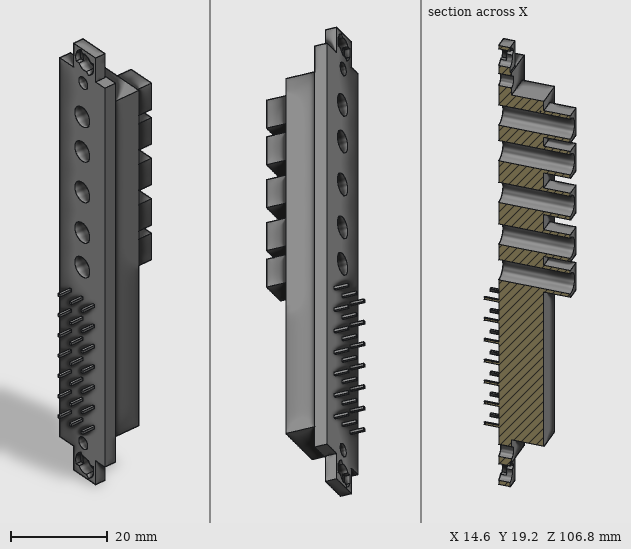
import cadquery as cq

total_height = 106.8

flange_width = 14.6
flange_height = 94.8
flange_depth = 2.9
ear_width = 7.2
ear_depth = 2.6
ear_offset_x = 0.7

housing_width = 12.5
housing_height = 83.9
housing_depth = 7.2

socket_size = 6.6
socket_depth = 5.9
socket_bore_diameter = 4.8
socket_row_center_z = 17.6
inner_socket_pitch = 10.1
outer_socket_pitch = 8.7

pin_size = 0.6
pin_length = 3.2
pin_columns = 3
pin_rows = 7
pin_column_pitch = 3.7
pin_field_height = 30.4
pin_row_pitch = pin_field_height / (pin_rows - 1)
pin_field_center_z = -24.0

screw_hole_diameter = 2.9
screw_hole_offset_x = 0.3
screw_hole_z = 45.1

bayonet_z = 50.4
bayonet_bore_diameter = 4.1
bayonet_key_span = 5.8
bayonet_key_width = 2.0
bayonet_entry_angle = -42.0
bayonet_seat_depth = 1.3

housing_back = flange_depth + housing_depth
socket_back = housing_back + socket_depth
socket_far_z = inner_socket_pitch + outer_socket_pitch
socket_steps = [-socket_far_z, -inner_socket_pitch, 0, inner_socket_pitch, socket_far_z]
socket_positions = [(0, socket_row_center_z + step) for step in socket_steps]


def front_sketch(y):
    """Workplane at depth y whose local axes are X and Z; it extrudes toward -Y."""
    return cq.Workplane("XZ", origin=(0, y, 0))


def make_body():
    flange = front_sketch(flange_depth).rect(flange_width, flange_height).extrude(flange_depth)
    ears = front_sketch(ear_depth).center(ear_offset_x, 0).rect(ear_width, total_height).extrude(ear_depth)
    housing = front_sketch(housing_back).rect(housing_width, housing_height).extrude(housing_depth)
    sockets = (
        front_sketch(socket_back)
        .pushPoints(socket_positions)
        .rect(socket_size, socket_size)
        .extrude(socket_depth)
    )
    return flange.union(ears).union(housing).union(sockets)


def make_pins():
    return (
        front_sketch(0)
        .center(0, pin_field_center_z)
        .rarray(pin_column_pitch, pin_row_pitch, pin_columns, pin_rows)
        .rect(pin_size, pin_size)
        .extrude(pin_length)
    )


def make_round_holes():
    bores = front_sketch(socket_back).pushPoints(socket_positions).circle(socket_bore_diameter / 2)
    screw_positions = [(screw_hole_offset_x, side * screw_hole_z) for side in (-1, 1)]
    screws = front_sketch(flange_depth).pushPoints(screw_positions).circle(screw_hole_diameter / 2)
    return bores.extrude(socket_back).union(screws.extrude(flange_depth))


def make_key_slot(angle, depth):
    """Two-winged slot with ends rounded about the bore axis, turned by angle, cut from Y = 0 to depth."""
    bar = (
        front_sketch(depth)
        .transformed(rotate=(0, 0, angle))
        .rect(bayonet_key_span, bayonet_key_width)
        .extrude(depth)
    )
    sweep_disc = front_sketch(depth).circle(bayonet_key_span / 2).extrude(depth)
    return bar.intersect(sweep_disc)


def make_bayonet():
    """Bore with a slanted through slot for the key and a shallow level seat to turn the key into."""
    bore = front_sketch(ear_depth).circle(bayonet_bore_diameter / 2).extrude(ear_depth)
    entry_slot = make_key_slot(bayonet_entry_angle, ear_depth)
    locking_seat = make_key_slot(0, bayonet_seat_depth)
    return bore.union(entry_slot).union(locking_seat)


result = make_body().union(make_pins()).cut(make_round_holes())
for side in (-1, 1):
    result = result.cut(make_bayonet().translate((ear_offset_x, 0, side * bayonet_z)))